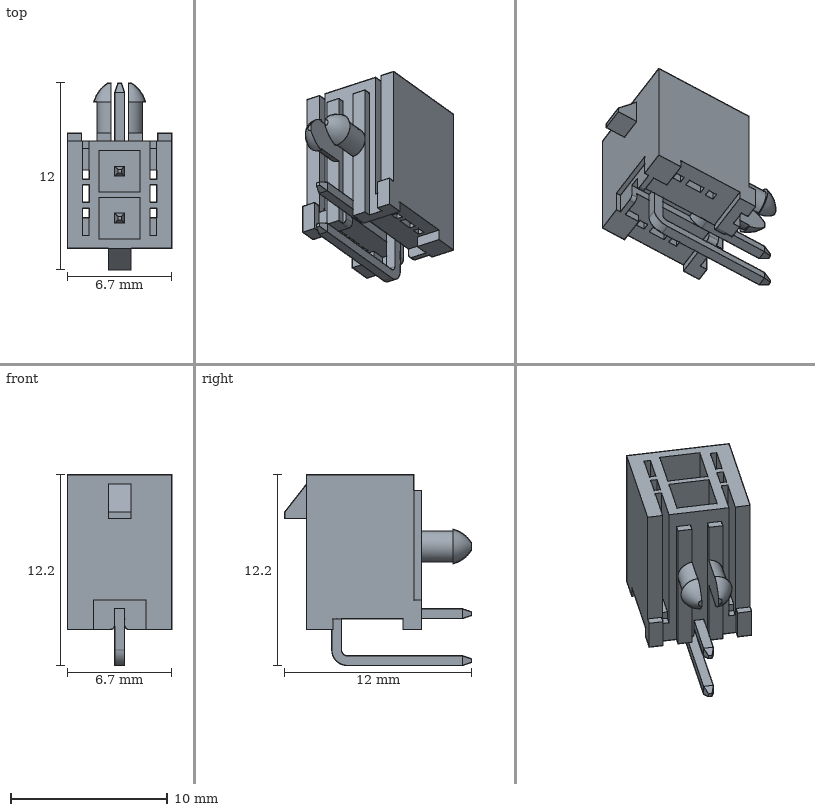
import cadquery as cq


WIDTH = 6.7
DEPTH = 6.88
HEIGHT = 9.92

PITCH = 3.01
PIN_SIZE = 0.64
PIN_TIP_SIZE = 0.23
PIN_TIP_LENGTH = 0.59
BEND_OUTER_RADIUS = 1.0
FIRST_PIN_Y = 1.93
LOWER_TAIL_Z = -1.98
REAR_END_Y = 10.57
PIN_SETBACK = 2.45
PIN_TOP_Z = HEIGHT - PIN_SETBACK
PIN_COUNT = 2

CAVITY_X = 2.62
CAVITY_Y = 2.64
FLOOR_Z = 1.9

SLOT_INNER_X = 1.95
SLOT_WIDTH = 0.42
SLOT_SPANS_Y = [(0.82, 2.55), (2.96, 4.07), (4.44, DEPTH)]
SLOT_OPENING_Y = (1.97, 5.01)
REAR_STEP = 0.5

RECESS_FRONT_Y = 1.69
RECESS_REAR_Y = 6.17
RECESS_HEIGHT = 0.7

FACE_RECESS_WIDTH = 3.35
FACE_RECESS_DEPTH = 0.3
WEB_THICKNESS = 0.38
CHANNEL_MOUTH_RADIUS = 0.29
CHANNEL_TOP_Z = LOWER_TAIL_Z + PITCH + PIN_SIZE / 2

STANDOFF = 0.49
FOOT_WIDTH = 0.92
RIB_INNER_X = 0.55
RIB_OUTER_X = 1.47
RIB_TOP_Z = 8.92

PEG_Z = 5.33
PEG_RADIUS = 1.0
PEG_SHOULDER_Y = 9.37
HEAD_RADIUS = 1.11
HEAD_TIP_RADIUS = 0.22
HEAD_BULGE = 0.15

LATCH_WIDTH = 1.45
LATCH_REACH = 1.39
LATCH_BOTTOM_Z = 7.11
LATCH_NOSE_Z = 7.54
LATCH_TOP_Z = 9.32


def block(x_span, y_span, z_span):
    """Box between the given limits along each axis."""
    lengths = [end - start for start, end in (x_span, y_span, z_span)]
    corner = (x_span[0], y_span[0], z_span[0])
    return cq.Workplane("XY").box(*lengths, centered=False).translate(corner)


def centred(width):
    """Limits of a width centred on X = 0."""
    return (-width / 2, width / 2)


def both_sides(shape):
    """Shape together with its mirror image across X = 0."""
    return shape.union(shape.mirror("YZ"))


def pin(index):
    """Bent square pin with both ends tapered; higher indexes sit further back and higher up."""
    leg_y = FIRST_PIN_Y + index * PITCH
    tail_z = LOWER_TAIL_Z + index * PITCH
    half = PIN_SIZE / 2
    leg_start_z = PIN_TOP_Z - PIN_TIP_LENGTH
    tail_end_y = REAR_END_Y - PIN_TIP_LENGTH
    corner = (leg_y - half, tail_z - half)
    rod = (
        cq.Workplane("YZ", origin=(-half, 0, 0))
        .moveTo(corner[0], leg_start_z)
        .lineTo(corner[0], corner[1] + BEND_OUTER_RADIUS)
        .radiusArc((corner[0] + BEND_OUTER_RADIUS, corner[1]), -BEND_OUTER_RADIUS)
        .lineTo(tail_end_y, corner[1])
        .lineTo(tail_end_y, corner[1] + PIN_SIZE)
        .lineTo(corner[0] + BEND_OUTER_RADIUS, corner[1] + PIN_SIZE)
        .radiusArc(
            (corner[0] + PIN_SIZE, corner[1] + BEND_OUTER_RADIUS), BEND_OUTER_RADIUS - PIN_SIZE
        )
        .lineTo(corner[0] + PIN_SIZE, leg_start_z)
        .close()
        .extrude(PIN_SIZE)
    )
    upper_tip = tapered_tip(cq.Plane((0, leg_y, leg_start_z), (1, 0, 0), (0, 0, 1)))
    tail_tip = tapered_tip(cq.Plane((0, tail_end_y, tail_z), (1, 0, 0), (0, 1, 0)))
    return rod.union(upper_tip).union(tail_tip).solids()


def tapered_tip(plane):
    """Square pin end narrowing along the plane's normal."""
    return (
        cq.Workplane(plane)
        .rect(PIN_SIZE, PIN_SIZE)
        .workplane(offset=PIN_TIP_LENGTH)
        .rect(PIN_TIP_SIZE, PIN_TIP_SIZE)
        .loft(ruled=True)
    )


def latch():
    """Wedge on the front face that slopes outward to a short nose."""
    return (
        cq.Workplane("YZ", origin=(-LATCH_WIDTH / 2, 0, 0))
        .polyline(
            [
                (0, LATCH_BOTTOM_Z),
                (-LATCH_REACH, LATCH_BOTTOM_Z),
                (-LATCH_REACH, LATCH_NOSE_Z),
                (0, LATCH_TOP_Z),
            ]
        )
        .close()
        .extrude(LATCH_WIDTH)
    )


def half_peg():
    """+X half of the split peg: a flat-sided shank and a domed head."""
    shank_length = PEG_SHOULDER_Y - DEPTH
    shank = (
        cq.Workplane("XZ", origin=(RIB_OUTER_X - PEG_RADIUS, DEPTH, PEG_Z))
        .circle(PEG_RADIUS)
        .extrude(-shank_length)
        .intersect(
            block(
                (RIB_INNER_X, WIDTH / 2),
                (DEPTH, PEG_SHOULDER_Y),
                (0, HEIGHT),
            )
        )
    )
    head_length = REAR_END_Y - PEG_SHOULDER_Y
    head = (
        cq.Workplane("XY", origin=(RIB_INNER_X, PEG_SHOULDER_Y, PEG_Z))
        .lineTo(HEAD_RADIUS, 0)
        .sagittaArc((HEAD_TIP_RADIUS, head_length), -HEAD_BULGE)
        .lineTo(0, head_length)
        .close()
        .revolve(180, (0, 0, 0), (0, 1, 0))
        .rotate((RIB_INNER_X, 0, PEG_Z), (RIB_INNER_X, 1, PEG_Z), -90)
    )
    return shank.union(head)


def rear_details():
    """Feet, ribs and peg halves that stand off the rear face."""
    standoff_y = (DEPTH, DEPTH + STANDOFF)
    foot = block((WIDTH / 2 - FOOT_WIDTH, WIDTH / 2), standoff_y, (0, FLOOR_Z))
    rib = block((RIB_INNER_X, RIB_OUTER_X), standoff_y, (0, RIB_TOP_Z))
    return both_sides(foot.union(rib).union(half_peg()))


def cavities():
    """One square well around each pin, open at the top."""
    wells = cq.Workplane("XY")
    for index in range(PIN_COUNT):
        centre_y = FIRST_PIN_Y + index * PITCH
        y_span = (centre_y - CAVITY_Y / 2, centre_y + CAVITY_Y / 2)
        wells = wells.add(block(centred(CAVITY_X), y_span, (FLOOR_Z, HEIGHT)))
    return wells.combine()


def side_slots():
    """Rows of narrow slots beside the cavities, partly open to the underside recess."""
    x_span = (SLOT_INNER_X, SLOT_INNER_X + SLOT_WIDTH)
    opening_start, opening_end = SLOT_OPENING_Y
    slots = block(x_span, (DEPTH - REAR_STEP, DEPTH), (FLOOR_Z - REAR_STEP, HEIGHT))
    for start, end in SLOT_SPANS_Y:
        through_span = (max(start, opening_start), min(end, opening_end))
        slots = slots.union(block(x_span, (start, end), (FLOOR_Z, HEIGHT)))
        slots = slots.union(block(x_span, through_span, (RECESS_HEIGHT, HEIGHT)))
    return both_sides(slots)


def underside_recess():
    """Recess across the base, reaching further forward in the middle, up to the front web."""
    web_rear_y = FACE_RECESS_DEPTH + WEB_THICKNESS
    across = block(centred(WIDTH), (RECESS_FRONT_Y, RECESS_REAR_Y), (0, RECESS_HEIGHT))
    middle = block(centred(FACE_RECESS_WIDTH), (web_rear_y, RECESS_REAR_Y), (0, RECESS_HEIGHT))
    return across.union(middle)


def pin_channel():
    """Channel along the base for the pins, with a rounded mouth at its lower edges."""
    half = PIN_SIZE / 2
    mouth = half + CHANNEL_MOUTH_RADIUS
    rear_y = DEPTH + STANDOFF
    return (
        cq.Workplane("XZ")
        .moveTo(-mouth, 0)
        .radiusArc((-half, CHANNEL_MOUTH_RADIUS), -CHANNEL_MOUTH_RADIUS)
        .lineTo(-half, CHANNEL_TOP_Z)
        .lineTo(half, CHANNEL_TOP_Z)
        .lineTo(half, CHANNEL_MOUTH_RADIUS)
        .radiusArc((mouth, 0), -CHANNEL_MOUTH_RADIUS)
        .close()
        .extrude(-rear_y)
    )


def make_housing(pins):
    """Housing with the pins' seats cut out of it."""
    housing = block(centred(WIDTH), (0, DEPTH), (0, HEIGHT))
    housing = housing.union(latch()).union(rear_details())
    housing = housing.cut(cavities()).cut(side_slots()).cut(underside_recess())
    housing = housing.cut(block(centred(FACE_RECESS_WIDTH), (0, FACE_RECESS_DEPTH), (0, FLOOR_Z)))
    housing = housing.cut(pin_channel())
    for seated_pin in pins:
        housing = housing.cut(seated_pin)
    return housing.solids()


contact_pins = [pin(index) for index in range(PIN_COUNT)]
housing = make_housing(contact_pins)

result = cq.Compound.makeCompound([housing.val(), *[contact.val() for contact in contact_pins]])